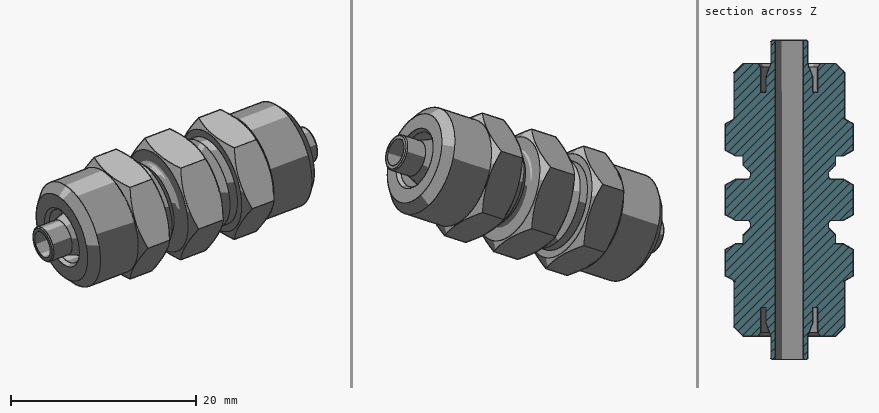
import cadquery as cq
import math

total_length = 34.5
half_length = total_length / 2
across_flats = 12.0
across_corners = across_flats / math.cos(math.radians(30))

bore_diameter = 3.0
tube_diameter = 4.0
flare_diameter = 5.1
tube_projection = 2.52
flare_length = 1.5
tube_edge_chamfer = 0.15

sleeve_diameter = 12.0
sleeve_chamfer = 1.0
mouth_diameter = 6.75
cavity_diameter = 6.15
mouth_taper_length = 0.4
cavity_depth = 3.1
nut_hex_outer_end = 8.83
nut_hex_inner_end = 4.73

center_hex_length = 4.5
collar_diameter = 10.0
groove_diameter = 8.5
groove_fillet = 0.3
groove_width = 0.75

hex_face_diameter = 11.65
hex_trim_angle = 30.0


def revolve_profile(points):
    """Turn a closed (radius, y) outline about the Y axis."""
    return cq.Workplane("XY").polyline(points).close().revolve(360, (0, 0, 0), (0, 1, 0))


def cylinder(diameter, y_start, y_end):
    radius = diameter / 2
    return revolve_profile([(0, y_start), (radius, y_start), (radius, y_end), (0, y_end)])


def trimmed_hexagon(y_start, y_end):
    """Hexagon with corners on +X and -X, coned at both ends."""
    length = y_end - y_start
    prism = (
        cq.Workplane("XZ", origin=(0, y_end, 0))
        .polygon(6, across_corners)
        .extrude(length)
    )
    face_radius = hex_face_diameter / 2
    corner_radius = across_corners / 2
    trim_depth = (corner_radius - face_radius) * math.tan(math.radians(hex_trim_angle))
    envelope = revolve_profile([
        (0, y_start),
        (face_radius, y_start),
        (corner_radius, y_start + trim_depth),
        (corner_radius, y_end - trim_depth),
        (face_radius, y_end),
        (0, y_end),
    ])
    return prism.intersect(envelope)


def body_half():
    """Core, groove and collar from the middle out to the nut."""
    collar_radius = collar_diameter / 2
    groove_radius = groove_diameter / 2
    hex_end = center_hex_length / 2
    groove_end = hex_end + groove_width
    collar_start = groove_end + collar_radius - groove_radius
    fillet_mid = groove_fillet * (1 - math.sqrt(0.5))
    return (
        cq.Workplane("XY")
        .lineTo(groove_radius + groove_fillet, 0)
        .lineTo(groove_radius + groove_fillet, hex_end)
        .threePointArc(
            (groove_radius + fillet_mid, hex_end + fillet_mid),
            (groove_radius, hex_end + groove_fillet),
        )
        .lineTo(groove_radius, groove_end)
        .lineTo(collar_radius, collar_start)
        .lineTo(collar_radius, nut_hex_inner_end)
        .lineTo(0, nut_hex_inner_end)
        .close()
        .revolve(360, (0, 0, 0), (0, 1, 0))
    )


def nut():
    mouth_y = half_length - tube_projection
    sleeve_radius = sleeve_diameter / 2
    mouth_radius = mouth_diameter / 2
    cavity_radius = cavity_diameter / 2
    floor_y = mouth_y - cavity_depth
    sleeve = revolve_profile([
        (0, nut_hex_outer_end),
        (sleeve_radius, nut_hex_outer_end),
        (sleeve_radius, mouth_y - sleeve_chamfer),
        (sleeve_radius - sleeve_chamfer, mouth_y),
        (0, mouth_y),
    ])
    cavity = revolve_profile([
        (0, floor_y),
        (cavity_radius, floor_y),
        (cavity_radius, mouth_y - mouth_taper_length),
        (mouth_radius, mouth_y),
        (0, mouth_y),
    ])
    hexagon = trimmed_hexagon(nut_hex_inner_end, nut_hex_outer_end)
    return sleeve.union(hexagon).cut(cavity)


def tube_stub():
    tube_radius = tube_diameter / 2
    flare_radius = flare_diameter / 2
    mouth_y = half_length - tube_projection
    return revolve_profile([
        (0, mouth_y - cavity_depth),
        (flare_radius, mouth_y - cavity_depth),
        (flare_radius, mouth_y - flare_length),
        (tube_radius, mouth_y),
        (tube_radius, half_length - tube_edge_chamfer),
        (tube_radius - tube_edge_chamfer, half_length),
        (0, half_length),
    ])


end_assembly = body_half().union(nut()).union(tube_stub())
center_hexagon = trimmed_hexagon(-center_hex_length / 2, center_hex_length / 2)
bore = cylinder(bore_diameter, -half_length, half_length)

result = center_hexagon.union(end_assembly).union(end_assembly.mirror("XZ")).cut(bore)